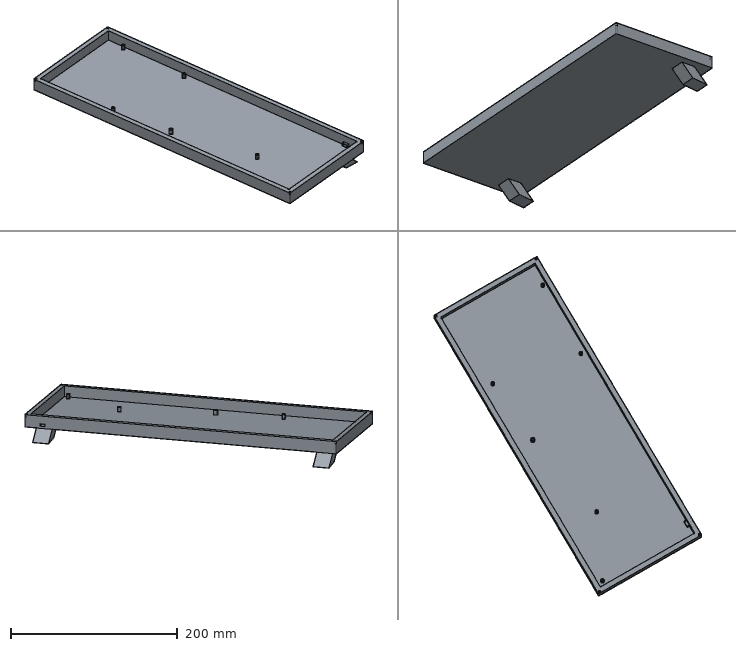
import cadquery as cq

length = 393.0
width = 143.0
tray_height = 15.5
cavity_length = 381.0
wall = (length - cavity_length) / 2
floor = 2.0
corner_radius = 1.0

hole_diameter = 2.0
hole_inset_x = 2.0
hole_inset_y = 2.5
hole_depth = 3.0

total_height = 34.0
foot_drop = total_height - tray_height
foot_width = 20.0
foot_end_margin = 10.0
foot_root_rear = 19.5
foot_root_depth = 18.5
foot_tip_rear = 0.8
foot_heel_rear = 22.0
foot_heel_drop = 16.5

post_height = 6.0
small_post = (4.5, 2.2)
large_post = (5.0, 3.05)
small_post_places = [
    (-164.3, 61.0),
    (-69.0, 58.5),
    (-90.5, -51.5),
    (107.3, -22.5),
    (183.5, -58.5),
]
large_post_place = (-7.0, -44.5)

sleeve_x = 174.0
sleeve_width = 8.0
sleeve_height = 4.5
sleeve_skin = 0.8
sleeve_reach = 3.0


def make_tray():
    block = cq.Workplane("XY").box(length, width, tray_height, centered=(True, True, False))
    block = block.edges("|Z").fillet(corner_radius)
    cavity = (
        cq.Workplane("XY", origin=(0, 0, floor))
        .rect(cavity_length, width - 2 * wall)
        .extrude(tray_height - floor)
    )
    return block.cut(cavity)


def drill_corners(tray):
    spacing_x = length - 2 * hole_inset_x
    spacing_y = width - 2 * hole_inset_y
    holes = (
        cq.Workplane("XY", origin=(0, 0, tray_height - hole_depth))
        .rarray(spacing_x, spacing_y, 2, 2)
        .circle(hole_diameter / 2)
        .extrude(hole_depth)
    )
    return tray.cut(holes)


def make_foot(start_x):
    rear = width / 2
    profile = [
        (rear - foot_root_rear, 0),
        (rear - foot_tip_rear, -foot_drop),
        (rear - foot_heel_rear, -foot_heel_drop),
        (rear - foot_root_rear - foot_root_depth, 0),
    ]
    return cq.Workplane("YZ", origin=(start_x, 0, 0)).polyline(profile).close().extrude(foot_width)


def make_posts(places, diameters):
    outer, bore = diameters
    return (
        cq.Workplane("XY", origin=(0, 0, floor))
        .pushPoints(places)
        .circle(outer / 2)
        .circle(bore / 2)
        .extrude(post_height)
    )


def add_sleeve(tray):
    base = cq.Workplane("XZ", origin=(sleeve_x, width / 2, floor + sleeve_height / 2))
    duct = base.rect(sleeve_width, sleeve_height).extrude(wall + sleeve_reach)
    passage = (
        base.rect(sleeve_width - 2 * sleeve_skin, sleeve_height - 2 * sleeve_skin)
        .extrude(wall + sleeve_reach)
    )
    return tray.union(duct).cut(passage)


result = drill_corners(make_tray())
result = add_sleeve(result)
for foot_start in (-length / 2 + foot_end_margin, length / 2 - foot_end_margin - foot_width):
    result = result.union(make_foot(foot_start))
result = result.union(make_posts(small_post_places, small_post))
result = result.union(make_posts([large_post_place], large_post))